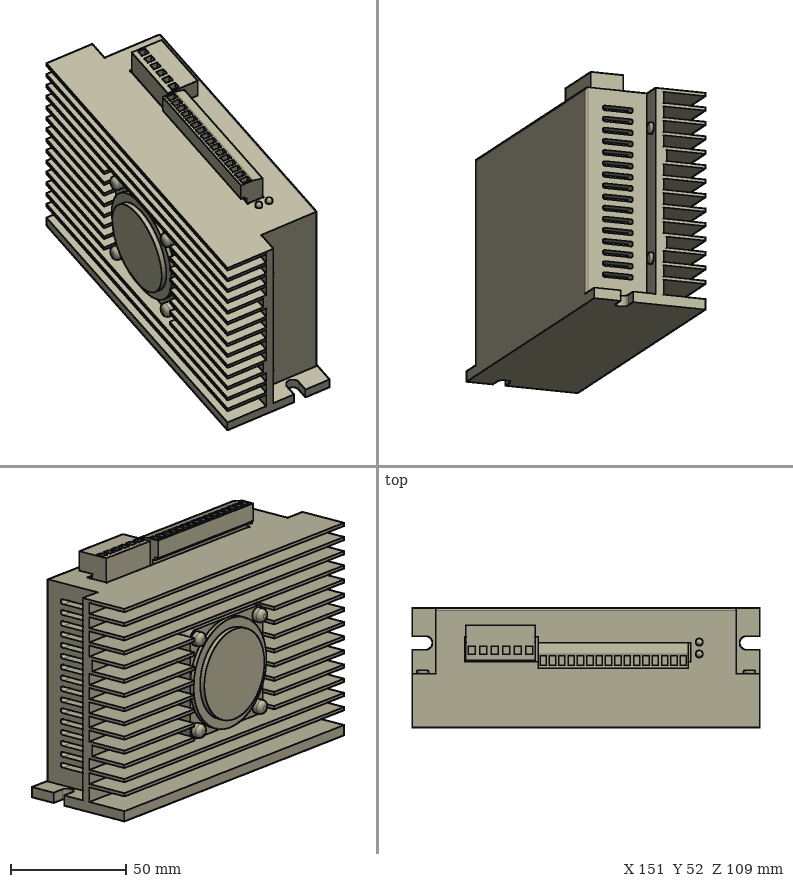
import cadquery as cq
import math


WIDTH = 151.0
DEPTH = 52.0
HEIGHT = 97.5
FLOOR_THICKNESS = 4.75
EAR_WIDTH = 10.15
SHOULDER_DEPTH = 28.6
WEB_FRONT_DEPTH = 32.35
BACK_EDGE_RADIUS = 1.0
CASE_WIDTH = WIDTH - 2 * EAR_WIDTH

FIN_COUNT = 14
FIN_THICKNESS = 1.5
FIN_PITCH = 6.5
RAISED_GAPS = (4, 10)
RAISED_GAP_DEPTH = 33.8

EAR_SLOT_WIDTH = 5.8
EAR_SLOT_LENGTH = 8.7
EAR_SLOT_DEPTH = 15.2

VENT_COUNT = 16
VENT_PITCH = 5.0
VENT_HEIGHT = 2.2
VENT_LENGTH = 14.0
VENT_CENTER_DEPTH = 15.0
VENT_BOTTOM_Z = 14.0
VENT_RECESS = 5.0

FAN_SIZE = 50.0
FAN_CENTER_Z = 47.85
FAN_CORNER_RADIUS = 3.8
FAN_BACK_DEPTH = 36.2
FAN_FLANGE_DEPTH = 47.6
FAN_RING_DEPTH = 49.6
FAN_HUB_DIAMETER = 41.2
FAN_SCREW_SPACING = 42.0
FAN_SIDE_CLEARANCE = 2.4

FAN_SCREW_RADIUS = 3.2
FAN_SCREW_RIM = 2.2
FAN_SCREW_HEIGHT = 4.2
FAN_SCREW_FLAT_RADIUS = 1.0
CASE_SCREW_RADIUS = 2.6
CASE_SCREW_RIM = 0.8
CASE_SCREW_HEIGHT = 1.6
CASE_SCREW_FLAT_RADIUS = 1.6
CASE_SCREW_INSET = 4.5
CASE_SCREW_HEIGHTS = (21.9, 80.4)

POWER_LEFT_X = -52.2
POWER_RIGHT_X = -22.1
POWER_TOP_Z = 108.4
POWER_BACK_DEPTH = 7.6
POWER_STEM_DEPTH = 14.9
POWER_FRONT_DEPTH = 22.8
POWER_PIN_COUNT = 6
POWER_PIN_PITCH = 5.0
POWER_PIN_WIDTH = 3.1
POWER_PIN_LENGTH = 3.5
POWER_PIN_CENTER_DEPTH = 18.3

SIGNAL_LEFT_X = -20.8
SIGNAL_RIGHT_X = 44.5
SIGNAL_TOP_Z = 109.0
SIGNAL_BACK_DEPTH = 15.2
SIGNAL_BACK_Z = 107.8
SIGNAL_SLOPE_DEPTH = 20.0
SIGNAL_FRONT_DEPTH = 26.2
SIGNAL_LIP_Z = 100.9
SIGNAL_STEP_DEPTH = 24.4
SIGNAL_STEM_DEPTH = 23.2
SIGNAL_PIN_COUNT = 16
SIGNAL_PIN_PITCH = 4.06
SIGNAL_PIN_WIDTH = 2.7
SIGNAL_PIN_LENGTH = 4.0
SIGNAL_PIN_CENTER_DEPTH = 22.8

OVERHANG_Z = 99.5
PIN_HOLE_DEPTH = 5.0
OPENING_RECESS = 1.0
OPENING_FRONT_DEPTH = 23.4
POWER_OPENING_BACK_DEPTH = 12.4
POWER_OPENING_LEFT_X = -52.7
SIGNAL_OPENING_RIGHT_X = 45.5

LAMP_RADIUS = 1.55
LAMP_HEIGHT = 2.1
LAMP_X = 49.2
LAMP_DEPTHS = (14.8, 20.0)


def block(x_range, depth_range, z_range):
    """Box between two x values, two depths and two heights."""
    (x0, x1), (d0, d1), (z0, z1) = x_range, depth_range, z_range
    return cq.Workplane("XY").box(x1 - x0, d1 - d0, z1 - z0, centered=False).translate((x0, -d1, z0))


def centered_block(width, depth_range, z_range):
    """Box of the given width, centred on x = 0."""
    return block((-width / 2, width / 2), depth_range, z_range)


def front_plane(depth, z):
    """Sketch plane facing the front (-Y), centred on x = 0 at the given depth and height."""
    return cq.Workplane("XZ", origin=(0, -depth, z))


def side_profile(points, x0, x1):
    """Extrude an outline of (depth, z) points from x0 to x1."""
    outline = [(-depth, z) for depth, z in points]
    return cq.Workplane("YZ", origin=(x0, 0, 0)).polyline(outline).close().extrude(x1 - x0)


def screw_head(radius, rim, height, flat_radius):
    """Domed head standing on z = 0 with its axis on Z."""
    arc_middle = math.sqrt(0.5)
    mid_radius = flat_radius + arc_middle * (radius - flat_radius)
    mid_height = rim + arc_middle * (height - rim)
    return (
        cq.Workplane("XZ")
        .lineTo(radius, 0)
        .lineTo(radius, rim)
        .threePointArc((mid_radius, mid_height), (flat_radius, height))
        .lineTo(0, height)
        .close()
        .revolve(360, (0, 0), (0, 1))
    )


def fin_bottom(index):
    """Underside height of a fin, counted from the top."""
    return HEIGHT - FIN_THICKNESS - index * FIN_PITCH


def make_case():
    case = centered_block(CASE_WIDTH, (0, SHOULDER_DEPTH), (0, HEIGHT))
    case = case.edges(">Y and (|Z or >Z)").fillet(BACK_EDGE_RADIUS)
    floor = centered_block(WIDTH, (0, DEPTH), (0, FLOOR_THICKNESS))
    web = centered_block(WIDTH, (SHOULDER_DEPTH, WEB_FRONT_DEPTH), (0, HEIGHT))
    return case.union(floor).union(web)


def make_fins():
    fins = cq.Workplane("XY")
    for index in range(FIN_COUNT):
        bottom = fin_bottom(index)
        fins = fins.union(centered_block(WIDTH, (WEB_FRONT_DEPTH, DEPTH), (bottom, bottom + FIN_THICKNESS)))
    for index in RAISED_GAPS:
        gap_range = (fin_bottom(index + 1), fin_bottom(index))
        fins = fins.union(centered_block(WIDTH, (WEB_FRONT_DEPTH, RAISED_GAP_DEPTH), gap_range))
    return fins.cut(make_fan_pocket())


def make_fan_pocket():
    """Space cut through the fins for the fan, with a clearance on each side of it."""
    half_height = FAN_SIZE / 2
    return centered_block(
        FAN_SIZE + 2 * FAN_SIDE_CLEARANCE,
        (FAN_BACK_DEPTH, DEPTH),
        (FAN_CENTER_Z - half_height, FAN_CENTER_Z + half_height),
    )


def make_fan():
    flange = (
        front_plane(FAN_BACK_DEPTH, FAN_CENTER_Z)
        .rect(FAN_SIZE, FAN_SIZE)
        .extrude(FAN_FLANGE_DEPTH - FAN_BACK_DEPTH)
        .edges("|Y")
        .fillet(FAN_CORNER_RADIUS)
    )
    ring = (
        front_plane(FAN_FLANGE_DEPTH, FAN_CENTER_Z)
        .circle(FAN_SIZE / 2)
        .extrude(FAN_RING_DEPTH - FAN_FLANGE_DEPTH)
    )
    hub = (
        front_plane(FAN_RING_DEPTH, FAN_CENTER_Z)
        .circle(FAN_HUB_DIAMETER / 2)
        .extrude(DEPTH - FAN_RING_DEPTH)
    )
    fan = flange.union(ring).union(hub)
    head = screw_head(FAN_SCREW_RADIUS, FAN_SCREW_RIM, FAN_SCREW_HEIGHT, FAN_SCREW_FLAT_RADIUS)
    head = head.rotate((0, 0, 0), (1, 0, 0), 90)
    offset = FAN_SCREW_SPACING / 2
    for x in (-offset, offset):
        for dz in (-offset, offset):
            fan = fan.union(head.translate((x, -FAN_FLANGE_DEPTH, FAN_CENTER_Z + dz)))
    return fan


def make_case_screws():
    """Screw heads on the shoulders, facing backward."""
    screws = cq.Workplane("XY")
    head = screw_head(CASE_SCREW_RADIUS, CASE_SCREW_RIM, CASE_SCREW_HEIGHT, CASE_SCREW_FLAT_RADIUS)
    head = head.rotate((0, 0, 0), (1, 0, 0), -90)
    screw_x = WIDTH / 2 - CASE_SCREW_INSET
    for x in (-screw_x, screw_x):
        for z in CASE_SCREW_HEIGHTS:
            screws = screws.union(head.translate((x, -SHOULDER_DEPTH, z)))
    return screws


def make_ear_slots():
    """Open-ended slots with a round inner end, one per ear."""
    slots = cq.Workplane("XY")
    radius = EAR_SLOT_WIDTH / 2
    straight = EAR_SLOT_LENGTH - radius
    for side in (-1, 1):
        edge_x = side * WIDTH / 2
        slot = (
            cq.Workplane("XY", origin=(edge_x, -EAR_SLOT_DEPTH, 0))
            .moveTo(0, -radius)
            .lineTo(-side * straight, -radius)
            .threePointArc((-side * EAR_SLOT_LENGTH, 0), (-side * straight, radius))
            .lineTo(0, radius)
            .close()
            .extrude(FLOOR_THICKNESS)
        )
        slots = slots.union(slot)
    return slots


def make_vents():
    """Row of blind round-ended slots in the -X side of the case."""
    row_center_z = VENT_BOTTOM_Z + (VENT_COUNT - 1) * VENT_PITCH / 2
    return (
        cq.Workplane("YZ", origin=(-CASE_WIDTH / 2, -VENT_CENTER_DEPTH, row_center_z))
        .rarray(1, VENT_PITCH, 1, VENT_COUNT)
        .slot2D(VENT_LENGTH, VENT_HEIGHT)
        .extrude(VENT_RECESS)
    )


def pin_holes(center, count, pitch, width, length):
    """Row of rectangular holes sunk from a connector's top face."""
    row = cq.Workplane("XY", origin=center).rarray(pitch, 1, count, 1)
    return row.rect(width, length).extrude(-PIN_HOLE_DEPTH)


def make_openings():
    """Shallow recesses in the housing top around the connector stems."""
    z_range = (HEIGHT - OPENING_RECESS, HEIGHT)
    power = block(
        (POWER_OPENING_LEFT_X, SIGNAL_LEFT_X), (POWER_OPENING_BACK_DEPTH, OPENING_FRONT_DEPTH), z_range
    )
    signal = block(
        (SIGNAL_LEFT_X, SIGNAL_OPENING_RIGHT_X), (SIGNAL_BACK_DEPTH, OPENING_FRONT_DEPTH), z_range
    )
    return power.union(signal)


def make_power_connector():
    body = side_profile(
        [
            (POWER_STEM_DEPTH, HEIGHT - OPENING_RECESS),
            (POWER_FRONT_DEPTH, HEIGHT - OPENING_RECESS),
            (POWER_FRONT_DEPTH, POWER_TOP_Z),
            (POWER_BACK_DEPTH, POWER_TOP_Z),
            (POWER_BACK_DEPTH, OVERHANG_Z),
            (POWER_STEM_DEPTH, OVERHANG_Z),
        ],
        POWER_LEFT_X,
        POWER_RIGHT_X,
    )
    center = ((POWER_LEFT_X + POWER_RIGHT_X) / 2, -POWER_PIN_CENTER_DEPTH, POWER_TOP_Z)
    holes = pin_holes(center, POWER_PIN_COUNT, POWER_PIN_PITCH, POWER_PIN_WIDTH, POWER_PIN_LENGTH)
    return body.cut(holes)


def make_signal_connector():
    body = side_profile(
        [
            (SIGNAL_BACK_DEPTH, HEIGHT - OPENING_RECESS),
            (SIGNAL_STEM_DEPTH, HEIGHT - OPENING_RECESS),
            (SIGNAL_STEM_DEPTH, OVERHANG_Z),
            (SIGNAL_STEP_DEPTH, OVERHANG_Z),
            (SIGNAL_STEP_DEPTH, SIGNAL_LIP_Z),
            (SIGNAL_FRONT_DEPTH, SIGNAL_LIP_Z),
            (SIGNAL_FRONT_DEPTH, SIGNAL_TOP_Z),
            (SIGNAL_SLOPE_DEPTH, SIGNAL_TOP_Z),
            (SIGNAL_BACK_DEPTH, SIGNAL_BACK_Z),
        ],
        SIGNAL_LEFT_X,
        SIGNAL_RIGHT_X,
    )
    center = ((SIGNAL_LEFT_X + SIGNAL_RIGHT_X) / 2, -SIGNAL_PIN_CENTER_DEPTH, SIGNAL_TOP_Z)
    holes = pin_holes(center, SIGNAL_PIN_COUNT, SIGNAL_PIN_PITCH, SIGNAL_PIN_WIDTH, SIGNAL_PIN_LENGTH)
    return body.cut(holes)


def make_lamps():
    """Round-topped indicator lamps: a short cylinder under a hemisphere."""
    lamps = cq.Workplane("XY")
    rim = LAMP_HEIGHT - LAMP_RADIUS
    for depth in LAMP_DEPTHS:
        base = cq.Workplane("XY", origin=(LAMP_X, -depth, HEIGHT))
        stem = base.circle(LAMP_RADIUS).extrude(rim)
        dome = cq.Workplane("XY").sphere(LAMP_RADIUS, angle1=0).translate((LAMP_X, -depth, HEIGHT + rim))
        lamps = lamps.union(stem).union(dome)
    return lamps


housing = make_case().union(make_fins())
housing = housing.cut(make_ear_slots()).cut(make_vents()).cut(make_openings())
housing = housing.union(make_fan()).union(make_case_screws())
result = housing.union(make_power_connector()).union(make_signal_connector()).union(make_lamps())